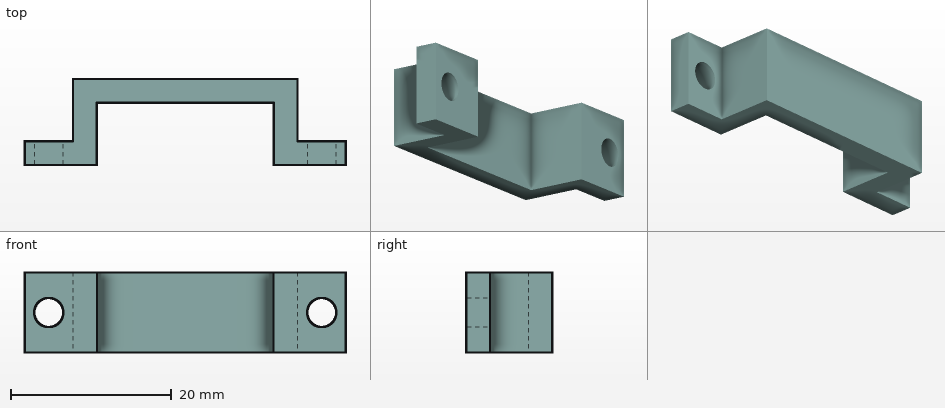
import cadquery as cq

length = 40.0
depth = 10.75
height = 10.0

wall = 3.0
channel_width = 22.0
bridge_width = channel_width + 2 * wall

hole_diameter = 3.6
hole_end_distance = 3.0
hole_x = length / 2 - hole_end_distance


def full_height_block(block_width, block_depth):
    """Block centred on X, standing on Z = 0 with its -Y face at Y = 0."""
    return cq.Workplane("XY").box(block_width, block_depth, height, centered=(True, False, False))


def make_strip():
    """Feet and bridge joined, with the channel cleared between the legs."""
    feet = full_height_block(length, wall)
    bridge = full_height_block(bridge_width, depth)
    channel = full_height_block(channel_width, depth - wall)
    return feet.union(bridge).cut(channel)


def make_screw_hole(x):
    """Cylinder along Y through one foot at mid height."""
    return (
        cq.Workplane("XZ", origin=(x, 0, height / 2))
        .circle(hole_diameter / 2)
        .extrude(-wall)
    )


result = make_strip()
for side in (-1, 1):
    result = result.cut(make_screw_hole(side * hole_x))